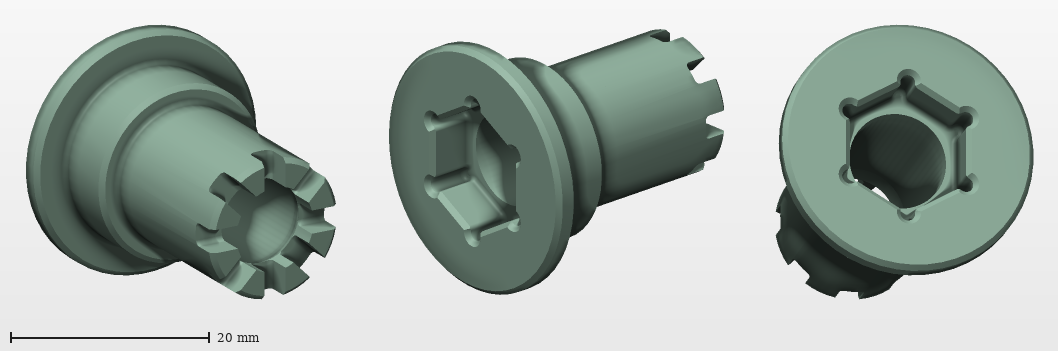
import cadquery as cq
import math

total_length = 28.0
edge_break = 0.5

flange_diameter = 26.0
flange_thickness = 2.5
shoulder_diameter = 19.0
shoulder_end = 9.5
shaft_diameter = 15.0

slot_count = 8
slot_width = 2.5
slot_depth = 3.0
slot_root = total_length - slot_depth

bore_diameter = 10.0
lip_diameter = 9.0
lip_radius = 3.0

socket_sides = 6
socket_flats = 12.0
socket_depth = 5.0
relief_radius = 0.75
relief_blend = edge_break
socket_corner = socket_flats / math.sqrt(3)


def sleeve():
    """Turned outside: flange, shoulder and shaft."""
    flange = flange_diameter / 2
    shoulder = shoulder_diameter / 2
    shaft = shaft_diameter / 2
    on_chord = edge_break * (1 - math.sqrt(0.5))
    profile = (
        cq.Workplane("XY")
        .lineTo(0, flange - edge_break)
        .lineTo(edge_break, flange)
        .lineTo(flange_thickness - edge_break, flange)
        .lineTo(flange_thickness, flange - edge_break)
        .lineTo(flange_thickness, shoulder + edge_break)
        .threePointArc(
            (flange_thickness + on_chord, shoulder + on_chord),
            (flange_thickness + edge_break, shoulder),
        )
        .lineTo(shoulder_end - edge_break, shoulder)
        .lineTo(shoulder_end, shoulder - edge_break)
        .lineTo(shoulder_end, shaft + edge_break)
        .threePointArc(
            (shoulder_end + on_chord, shaft + on_chord),
            (shoulder_end + edge_break, shaft),
        )
        .lineTo(total_length - edge_break, shaft)
        .lineTo(total_length, shaft - edge_break)
        .lineTo(total_length, 0)
        .close()
    )
    return profile.revolve(360, (0, 0, 0), (1, 0, 0))


def bore():
    """Through bore whose far end rounds inward to the lip."""
    bore_radius = bore_diameter / 2
    lip_step = bore_radius - lip_diameter / 2
    lip_angle = math.acos(1 - lip_step / lip_radius)
    rounding_start = slot_root - lip_radius * math.sin(lip_angle)

    def on_rounding(angle):
        x = rounding_start + lip_radius * math.sin(angle)
        y = bore_radius - lip_radius * (1 - math.cos(angle))
        return (x, y)

    profile = (
        cq.Workplane("XY")
        .lineTo(0, bore_radius)
        .lineTo(rounding_start, bore_radius)
        .threePointArc(on_rounding(lip_angle / 2), on_rounding(lip_angle))
        .lineTo(total_length, lip_diameter / 2)
        .lineTo(total_length, 0)
        .close()
    )
    return profile.revolve(360, (0, 0, 0), (1, 0, 0))


def slots():
    """Radial slots across the shaft end, rounded at the root corners."""
    reach = shaft_diameter / 2
    slot = (
        cq.Workplane("XY")
        .box(2 * slot_depth, slot_width, reach)
        .edges("<X and |Z")
        .fillet(edge_break)
        .translate((total_length, 0, reach))
    )
    ring = slot
    for index in range(1, slot_count):
        ring = ring.union(slot.rotate((0, 0, 0), (1, 0, 0), index * 360 / slot_count))
    return ring


def corner_points(direction):
    """Points along one socket corner: blend, relief, blend, as three arcs."""
    flat_angle = math.radians(120)
    blend_distance = relief_radius + relief_blend
    blend_angle = flat_angle - math.asin(relief_blend / blend_distance)
    flat_end = math.sqrt(blend_distance**2 - relief_blend**2)

    def from_corner(radius, angle):
        return (socket_corner + radius * math.cos(angle), radius * math.sin(angle))

    blend_centre = from_corner(blend_distance, blend_angle)
    blend_start = from_corner(relief_radius, blend_angle)
    blend_end = from_corner(flat_end, flat_angle)
    toward_middle = (blend_angle + math.pi + flat_angle - math.pi / 2 + math.pi) / 2
    blend_middle = (
        blend_centre[0] + relief_blend * math.cos(toward_middle),
        blend_centre[1] + relief_blend * math.sin(toward_middle),
    )
    after = [blend_start, blend_middle, blend_end]
    before = [(x, -y) for x, y in reversed(after)]
    points = before + [from_corner(relief_radius, 0)] + after
    cos_d = math.cos(direction)
    sin_d = math.sin(direction)
    return [(x * cos_d - y * sin_d, x * sin_d + y * cos_d) for x, y in points]


def socket():
    """Hexagon socket with round corner reliefs and a filleted floor."""
    outline = cq.Workplane("YZ")
    for index in range(socket_sides):
        points = corner_points(math.pi / 2 + index * 2 * math.pi / socket_sides)
        outline = outline.lineTo(*points[0]) if index else outline.moveTo(*points[0])
        for middle in (1, 3, 5):
            outline = outline.threePointArc(points[middle], points[middle + 1])
    return outline.close().extrude(socket_depth).faces(">X").edges().fillet(edge_break)


def socket_mouth():
    """Chamfer of the socket edge: its flats and reliefs flare at 45 degrees."""
    mouth = (
        cq.Workplane("YZ")
        .polygon(socket_sides, socket_flats + 2 * edge_break, circumscribed=True)
        .workplane(offset=edge_break)
        .polygon(socket_sides, socket_flats, circumscribed=True)
        .loft(ruled=True)
    )
    relief_cone = cq.Workplane(
        cq.Solid.makeCone(
            relief_radius + edge_break,
            relief_radius,
            edge_break,
            pnt=cq.Vector(0, 0, socket_corner),
            dir=cq.Vector(1, 0, 0),
        )
    )
    for index in range(socket_sides):
        mouth = mouth.union(relief_cone.rotate((0, 0, 0), (1, 0, 0), index * 360 / socket_sides))
    return mouth


result = sleeve().cut(bore()).cut(slots()).cut(socket()).cut(socket_mouth())